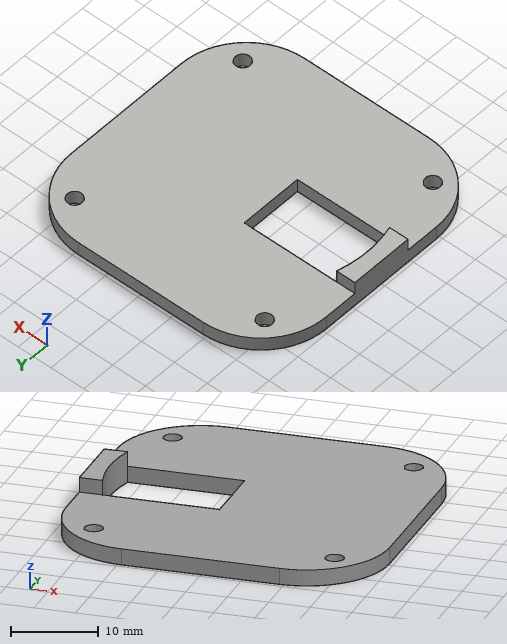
import cadquery as cq

plate_side = 39.0
plate_thickness = 2.0
corner_radius = 10.0

hole_diameter = 2.2
hole_inset = 5.0
hole_spacing = plate_side - 2 * hole_inset

window_width = 9.15
window_end_from_edge = 16.9
tab_top = 3.8
tab_end_depth = 2.8
tab_middle_depth = 2.2

edge_x = -plate_side / 2
half_width = window_width / 2
window_end_x = edge_x + window_end_from_edge
tab_end_x = edge_x + tab_end_depth
tab_middle_x = edge_x + tab_middle_depth


def make_plate():
    """Square plate with rounded corners and a hole near each corner."""
    return (
        cq.Workplane("XY")
        .rect(plate_side, plate_side)
        .extrude(plate_thickness)
        .edges("|Z")
        .fillet(corner_radius)
        .faces(">Z")
        .workplane()
        .rect(hole_spacing, hole_spacing, forConstruction=True)
        .vertices()
        .hole(hole_diameter)
    )


def make_window():
    """Through cutter with three straight sides and an arc facing the tab."""
    return (
        cq.Workplane("XY")
        .moveTo(tab_end_x, -half_width)
        .lineTo(window_end_x, -half_width)
        .lineTo(window_end_x, half_width)
        .lineTo(tab_end_x, half_width)
        .threePointArc((tab_middle_x, 0), (tab_end_x, -half_width))
        .close()
        .extrude(tab_top)
    )


def make_tab():
    """Block on the -X edge; the window cutter hollows its inner face."""
    return (
        cq.Workplane("XY")
        .moveTo(edge_x, -half_width)
        .lineTo(tab_end_x, -half_width)
        .lineTo(tab_end_x, half_width)
        .lineTo(edge_x, half_width)
        .close()
        .extrude(tab_top)
    )


result = make_plate().union(make_tab()).cut(make_window())